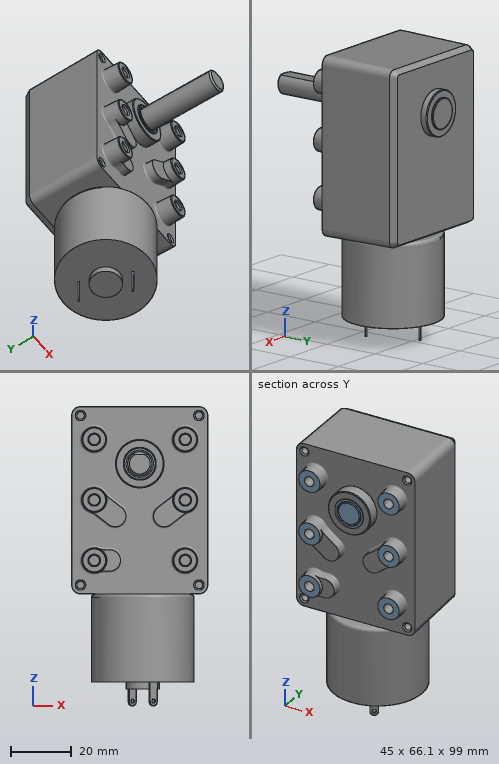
import cadquery as cq
import math


box_width = 45.0
box_height = 62.0
box_depth = 30.0
box_top = 18.9
box_middle = box_top - box_height / 2
box_bottom = box_top - box_height
corner_radius = 3.0
plate_thickness = 2.1
wall_steps = [(plate_thickness, 0.0), (27.6, 0.45), (28.5, 0.9), (29.1, 1.3), (box_depth, 1.8)]

screw_x = box_width / 2 - corner_radius
screw_z = box_height / 2 - corner_radius
screw_hole_diameter = 2.5
screw_mouth_diameter = 3.5
screw_hole_depth = 7.9

leg_x = 15.0
leg_top_z = 8.0
leg_pitch = 20.0
leg_rows = [leg_top_z - row * leg_pitch for row in range(3)]
leg_places = [(x, z) for x in (-leg_x, leg_x) for z in leg_rows]
leg_height = 6.4
leg_base_radius = 4.4
leg_tip_radius = 4.1
leg_tip_chamfer = 0.3
leg_hole_diameter = 3.5
leg_hole_mouth_diameter = 4.2
hole_mouth_depth = 0.5
leg_hole_depth = 7.9

rib_radius = 3.8
rib_draft = 4.0
rib_blend = 4.95
rib_height = 3.3
foot_fillet = 0.5
upper_rib_end = (8.1, -17.3)
lower_rib_end_x = 9.9
ribs = [
    ((-leg_x, leg_rows[1]), (-upper_rib_end[0], upper_rib_end[1])),
    ((leg_x, leg_rows[1]), upper_rib_end),
    ((-leg_x, leg_rows[2]), (-lower_rib_end_x, leg_rows[2])),
]

boss_diameter = 16.0
boss_chamfer = 0.3
front_boss_height = 4.5
rear_boss_height = 2.5
collar_diameter = 10.9
collar_bore = 9.0
collar_chamfer = 0.3
front_collar_height = 0.5
rear_collar_height = 0.6
front_recess_depth = 1.0

shaft_diameter = 8.0
shaft_reach = 33.0
shaft_chamfer = 0.6
flat_length = 15.0
flat_cut = 1.0

motor_x = 1.0
motor_diameter = 34.0
motor_y = 13.1
motor_length = 29.1
motor_bottom = box_bottom - motor_length
motor_fillet = 1.2
pilot_diameter = 14.5
pilot_depth = 2.0
end_boss_diameter = 11.0
end_boss_height = 2.4

terminal_offset = (3.5, -8.5)
terminal_width = 2.9
terminal_thickness = 0.6
terminal_length = 7.9
terminal_angle = 36.0
terminal_hole_diameter = 1.3
terminal_hole_rise = 1.6


def front_plane(y):
    """Workplane at the given Y that faces forward (-Y)."""
    return cq.Workplane("XZ", origin=(0, y, 0))


def rod_y(diameter, y_start, y_end, x=0.0, z=0.0):
    """Round bar along Y whose front end is at y_start."""
    return front_plane(y_end).center(x, z).circle(diameter / 2).extrude(y_end - y_start)


def rod_z(diameter, z_top, length):
    """Round bar on the motor axis that hangs down from z_top."""
    return cq.Workplane("XY", origin=(motor_x, motor_y, z_top)).circle(diameter / 2).extrude(-length)


def housing_outline(inset):
    """Rounded outline of the housing; its corner centres do not move with the inset."""
    width = box_width - 2 * inset
    height = box_height - 2 * inset
    return cq.Sketch().rect(width, height).vertices().fillet(corner_radius - inset)


def housing():
    """Straight front plate followed by tapering wall sections."""
    middle = (0, box_middle)
    body = front_plane(plate_thickness).center(*middle)
    body = body.placeSketch(housing_outline(0)).extrude(plate_thickness)
    for (y_near, inset_near), (y_far, inset_far) in zip(wall_steps, wall_steps[1:]):
        near_outline = housing_outline(inset_near).moved(cq.Location(cq.Vector(0, 0, y_far - y_near)))
        section = front_plane(y_far).center(*middle)
        section = section.placeSketch(housing_outline(inset_far), near_outline).loft(ruled=True)
        body = body.union(section)
    return body


def leg(x, z):
    """Tapered leg with a chamfered tip."""
    tip_y = -leg_height
    profile = cq.Workplane("XY").polyline([
        (0, 0),
        (leg_base_radius, 0),
        (leg_tip_radius, tip_y + leg_tip_chamfer),
        (leg_tip_radius - leg_tip_chamfer, tip_y),
        (0, tip_y),
    ])
    return profile.close().revolve(360, (0, 0, 0), (0, 1, 0)).translate((x, 0, z))


def rib(start, end):
    """Flat rib with round ends centred on start and end."""
    span_x = end[0] - start[0]
    span_z = end[1] - start[1]
    length = math.hypot(span_x, span_z) + 2 * rib_radius
    angle = math.degrees(math.atan2(span_z, span_x))
    plane = front_plane(0).center(start[0] + span_x / 2, start[1] + span_z / 2)
    return plane.slot2D(length, 2 * rib_radius, angle).extrude(rib_height, taper=rib_draft)


def blend_rib(body, start, end):
    """Fillet the two upright corners where the sides of a rib run into its leg."""
    bearing = math.atan2(end[1] - start[1], end[0] - start[0])
    spread = math.asin(rib_radius / leg_base_radius)
    for side in (-1, 1):
        x = start[0] + leg_base_radius * math.cos(bearing + side * spread)
        z = start[1] + leg_base_radius * math.sin(bearing + side * spread)
        corner = cq.selectors.NearestToPointSelector((x, -rib_height / 2, z))
        body = body.edges(corner).fillet(rib_blend)
    return body


def add_legs_and_ribs(body):
    """Join the legs and ribs to the front face and fillet where they meet it."""
    for x, z in leg_places:
        body = body.union(leg(x, z))
    for start, end in ribs:
        body = body.union(rib(start, end))
        body = blend_rib(body, start, end)
    front_face = body.faces(cq.selectors.NearestToPointSelector((0, 0, box_middle))).val()
    foot_edges = [edge for wire in front_face.innerWires() for edge in wire.Edges()]
    return body.newObject(foot_edges).fillet(foot_fillet)


def countersunk_hole(x, z, face_y, diameter, mouth_diameter, depth):
    """Cutter for a blind hole, entered from the front, with a conical mouth."""
    mouth = front_plane(face_y).center(x, z).circle(mouth_diameter / 2)
    mouth = mouth.workplane(offset=-hole_mouth_depth).circle(diameter / 2).loft()
    return mouth.union(rod_y(diameter, face_y, face_y + depth, x, z))


def cut_holes(body):
    """Blind holes in the leg tips and in the housing corners."""
    for x, z in leg_places:
        body = body.cut(
            countersunk_hole(x, z, -leg_height, leg_hole_diameter, leg_hole_mouth_diameter, leg_hole_depth)
        )
    for x in (-screw_x, screw_x):
        for z in (box_middle - screw_z, box_middle + screw_z):
            body = body.cut(
                countersunk_hole(x, z, 0, screw_hole_diameter, screw_mouth_diameter, screw_hole_depth)
            )
    return body


def bearing_bosses():
    """Front and rear bosses on the shaft axis, each with a low bearing collar."""
    front = rod_y(boss_diameter, -front_boss_height, 0).faces("<Y").chamfer(boss_chamfer)
    collar_front = -front_boss_height - front_collar_height
    front_collar = rod_y(collar_diameter, collar_front, 0).faces("<Y").chamfer(collar_chamfer)
    front = front.union(front_collar)
    front = front.cut(rod_y(collar_bore, collar_front, collar_front + front_recess_depth))

    boss_back = box_depth + rear_boss_height
    rear = rod_y(boss_diameter, box_depth, boss_back).faces(">Y").chamfer(boss_chamfer)
    rear_collar = rod_y(collar_diameter, box_depth, boss_back + rear_collar_height)
    rear_collar = rear_collar.faces(">Y").chamfer(collar_chamfer)
    return front.union(rear).union(rear_collar)


def output_shaft():
    """Shaft with a chamfered end and a flat along its top."""
    shaft = rod_y(shaft_diameter, -shaft_reach, 0).faces("<Y").chamfer(shaft_chamfer)
    flat = front_plane(flat_length - shaft_reach).center(0, shaft_diameter / 2)
    return shaft.cut(flat.rect(shaft_diameter, 2 * flat_cut).extrude(flat_length))


def motor():
    """Motor can with a rounded top edge, a pilot into the housing and an end boss."""
    can = rod_z(motor_diameter, box_bottom, motor_length).faces(">Z").edges().fillet(motor_fillet)
    pilot = rod_z(pilot_diameter, box_bottom + pilot_depth, 2 * pilot_depth)
    end_boss = rod_z(end_boss_diameter, motor_bottom, end_boss_height)
    return can.union(pilot).union(end_boss)


def terminal():
    """Round-tipped tab with an eyelet, turned about its own upright axis."""
    x, y = terminal_offset
    tip_radius = terminal_width / 2
    tip_center = tip_radius - terminal_length
    tab = (
        cq.Workplane("XZ", origin=(0, terminal_thickness / 2, 0))
        .moveTo(-tip_radius, 0)
        .lineTo(-tip_radius, tip_center)
        .threePointArc((0, -terminal_length), (tip_radius, tip_center))
        .lineTo(tip_radius, 0)
        .close()
        .moveTo(0, terminal_hole_rise - terminal_length)
        .circle(terminal_hole_diameter / 2)
        .extrude(terminal_thickness)
    )
    tab = tab.rotate((0, 0, 0), (0, 0, 1), terminal_angle)
    return tab.translate((motor_x + x, motor_y + y, motor_bottom))


result = cut_holes(add_legs_and_ribs(housing()))
result = result.union(bearing_bosses()).union(output_shaft()).union(motor())
for turn in (0, 180):
    result = result.union(terminal().rotate((motor_x, motor_y, 0), (motor_x, motor_y, 1), turn))